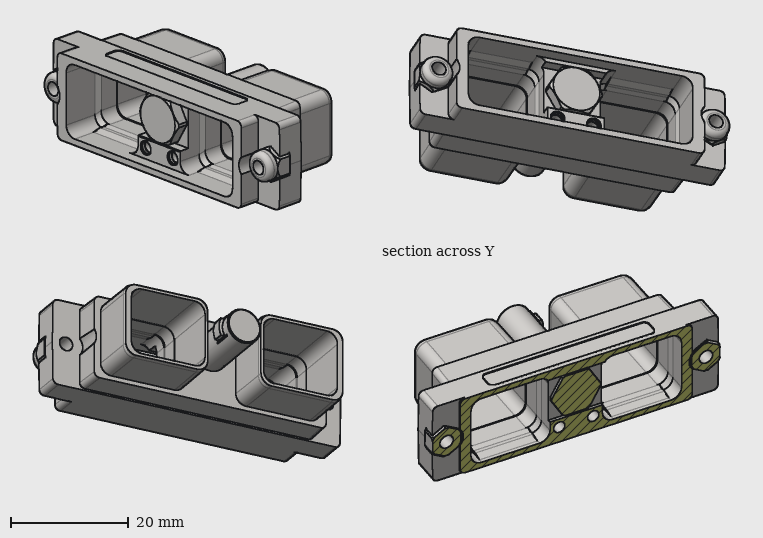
import cadquery as cq
import math

SIDES = (-1, 1)

FLANGE_FRONT = 4.05
FLANGE_REAR = 9.1
COLLAR_REAR = 14.1
BOX_CHAMFER_START = 22.2
BOX_REAR = 22.95
TUBE_REAR = 26.65

HEIGHT = 15.93
BODY_WIDTH = 44.8
FLANGE_WIDTH_AT_EDGE = 55.0
FLANGE_WIDTH_AT_MIDDLE = 55.25
COLLAR_HEIGHT = 15.26
COLLAR_REAR_WIDTH = 44.4
HOUSING_CORNER = 1.0

BOX_CENTER_X = 12.95
BOX_WIDTH = 16.1
BOX_WIDTH_AT_CHAMFER = 15.95
BOX_HEIGHT = 13.56
BOX_CORNER = 2.0
BOX_REAR_INSET = 0.13

CAVITY_WIDTH = 40.5
CAVITY_HEIGHT = 13.55
CAVITY_CORNER = 2.0
WEB_WIDTH = 10.2
WEB_FRONT = 2.3
PASSAGE_STEP_START = 6.8
PASSAGE_STEP_END = 7.9
PASSAGE_SIDE_STEP = 0.35
PASSAGE_HEIGHT_STEP = 0.55
PASSAGE_LEDGE = 11.6
PASSAGE_LEDGE_STEP = 0.17
WEDGE_START = 4.5
WEDGE_END = 6.1
WEDGE_RISE = 0.35

WEB_RECESS_BOTTOM = -2.97
WEB_RECESS_TOP = 5.95
WEB_RECESS_FLOOR = 4.25
WEB_RECESS_CHAMFER = 0.15
WEB_HOLE_X = 3.27
WEB_HOLE_Z = -4.77
WEB_HOLE_STEPS = ((1.05, 4.0), (1.15, 0.9), (1.25, 0.35))

PLUG_Z = 1.5
PLUG_HEAD_FRONT = 2.0
PLUG_HEAD_FLATS = 8.5
PLUG_HEAD_TIP_RADIUS = 4.75
PLUG_HEAD_FACE_RADIUS = 4.2
PLUG_HEAD_CHAMFER = 0.4
STEM_RADIUS = 3.15
STEM_CHAMFER = 0.2
KEY_Y = 23.55
KEY_LENGTH = 2.1
KEY_HEIGHT = 3.2
KEY_REACH = 3.78
KEY_SEAT_LENGTH = 3.5
KEY_SEAT_HEIGHT = 3.7
KEY_SEAT_REACH = 2.7

SCREW_X = 25.0
SCREW_BORE_RADIUS = 1.25
HEAD_RADIUS = 2.75
HEAD_FRONT = 1.5
HEAD_REAR = 3.43
HEAD_FILLET = 1.05
NUT_FLATS = 5.5
NUT_REAR = 6.43
NUT_CHAMFER = 0.62
NUT_POCKET_X = 25.4
NUT_POCKET_TIP_RADIUS = 3.28

GROOVE_HALF_HEIGHT = 1.56
GROOVE_BOTTOM_X = 21.8

PANEL_LENGTH = 32.0
PANEL_FRONT = 4.7
PANEL_REAR = 8.25
PANEL_CORNER = 1.0
PANEL_DEPTH = 0.2


def section(y, x=0.0, z=0.0):
    """Sketch plane square to Y: local x is X, local y is Z."""
    return cq.Workplane("XZ", origin=(x, y, z))


def block(width, height, start, end, x=0.0):
    return section(start, x).rect(width, height).extrude(start - end)


def rounded_block(width, height, corner, start, end, x=0.0):
    return block(width, height, start, end, x).edges("|Y").fillet(corner)


def inset_section(size, side_inset, height_inset):
    """A (width, height, corner) section drawn in on all sides, with the same corner radius."""
    return (size[0] - 2 * side_inset, size[1] - 2 * height_inset, size[2])


def tapered_block(front_size, rear_size, start, end, x=0.0):
    """Rectangular loft between (width, height, corner) sections."""
    front = cq.Sketch().rect(front_size[0], front_size[1]).vertices().fillet(front_size[2])
    rear = cq.Sketch().rect(rear_size[0], rear_size[1]).vertices().fillet(rear_size[2])
    rear = rear.moved(cq.Location(cq.Vector(0, 0, start - end)))
    return section(start, x).placeSketch(front, rear).loft()


def cylinder(radius, start, end, x=0.0, z=0.0):
    return section(start, x, z).circle(radius).extrude(start - end)


def hexagon(tip_radius, start, end, x=0.0, z=0.0, turn=0.0):
    prism = section(start).polygon(6, 2 * tip_radius).extrude(start - end)
    return prism.rotate((0, 0, 0), (0, 1, 0), turn).translate((x, 0, z))


def make_flange():
    edge = FLANGE_WIDTH_AT_EDGE / 2
    middle = FLANGE_WIDTH_AT_MIDDLE / 2
    top = HEIGHT / 2
    outline = [(-edge, top), (edge, top), (middle, 0), (edge, -top), (-edge, -top), (-middle, 0)]
    flange = section(FLANGE_FRONT).polyline(outline).close().extrude(FLANGE_FRONT - FLANGE_REAR)
    return flange.edges("|Y and (>Z or <Z)").fillet(HOUSING_CORNER)


def make_groove(side):
    """Arc-bottomed groove along the body and the collar, interrupted by the flange."""
    body_end = BODY_WIDTH / 2
    groove = (
        section(0)
        .moveTo(body_end, -GROOVE_HALF_HEIGHT)
        .threePointArc((GROOVE_BOTTOM_X, 0), (body_end, GROOVE_HALF_HEIGHT))
        .close()
        .extrude(-COLLAR_REAR)
    )
    groove = groove.cut(block(2 * FLANGE_WIDTH_AT_MIDDLE, HEIGHT, FLANGE_FRONT, FLANGE_REAR))
    return groove if side > 0 else groove.mirror("YZ")


def make_label_panel():
    length_y = PANEL_REAR - PANEL_FRONT
    panel = (
        cq.Workplane("XY", origin=(0, (PANEL_FRONT + PANEL_REAR) / 2, HEIGHT / 2))
        .rect(PANEL_LENGTH, length_y)
        .extrude(-PANEL_DEPTH)
    )
    return panel.edges("|Z").fillet(PANEL_CORNER)


def make_housing():
    body = rounded_block(BODY_WIDTH, HEIGHT, HOUSING_CORNER, 0, FLANGE_FRONT)
    collar = tapered_block(
        (BODY_WIDTH, COLLAR_HEIGHT, HOUSING_CORNER),
        (COLLAR_REAR_WIDTH, COLLAR_HEIGHT, HOUSING_CORNER),
        FLANGE_REAR,
        COLLAR_REAR,
    )
    housing = body.union(make_flange()).union(collar)
    for side in SIDES:
        housing = housing.cut(make_groove(side))
    return housing.cut(make_label_panel())


def make_box(side):
    x = side * BOX_CENTER_X
    base_size = (BOX_WIDTH, BOX_HEIGHT, BOX_CORNER)
    chamfer_size = (BOX_WIDTH_AT_CHAMFER, BOX_HEIGHT, BOX_CORNER)
    rear_size = inset_section(chamfer_size, BOX_REAR_INSET, BOX_REAR_INSET)
    shell = tapered_block(base_size, chamfer_size, COLLAR_REAR, BOX_CHAMFER_START, x)
    rim = tapered_block(chamfer_size, rear_size, BOX_CHAMFER_START, BOX_REAR, x)
    return shell.union(rim)


def make_wedge(x, width):
    """Ramp on the passage floor with a flat top that leads into the throat."""
    floor = -CAVITY_HEIGHT / 2
    return (
        cq.Workplane("YZ", origin=(x - width / 2, 0, 0))
        .moveTo(WEDGE_START, floor)
        .lineTo(WEDGE_END, floor + WEDGE_RISE)
        .lineTo(PASSAGE_STEP_START, floor + WEDGE_RISE)
        .lineTo(PASSAGE_STEP_END, floor + PASSAGE_HEIGHT_STEP)
        .lineTo(PASSAGE_STEP_END, floor)
        .close()
        .extrude(width)
    )


def make_passage(side):
    width = (CAVITY_WIDTH - WEB_WIDTH) / 2
    x = side * (CAVITY_WIDTH + WEB_WIDTH) / 4
    entry_size = (width, CAVITY_HEIGHT, CAVITY_CORNER)
    throat_size = inset_section(entry_size, PASSAGE_SIDE_STEP, PASSAGE_HEIGHT_STEP)
    exit_size = inset_section(throat_size, PASSAGE_LEDGE_STEP, PASSAGE_LEDGE_STEP)
    wedge = make_wedge(x, width - 2 * CAVITY_CORNER)
    entry = rounded_block(*entry_size, WEB_FRONT, PASSAGE_STEP_START, x)
    step = tapered_block(entry_size, throat_size, PASSAGE_STEP_START, PASSAGE_STEP_END, x)
    throat = rounded_block(*throat_size, PASSAGE_STEP_END, PASSAGE_LEDGE, x)
    exit_opening = rounded_block(*exit_size, PASSAGE_LEDGE, BOX_REAR, x)
    passage = entry.union(step).cut(wedge).cut(wedge.mirror("XY"))
    return passage.union(throat).union(exit_opening)


def make_front_cavity():
    return rounded_block(CAVITY_WIDTH, CAVITY_HEIGHT, CAVITY_CORNER, 0, WEB_FRONT)


def make_web_recess():
    """Recess across the web, wide enough to clear the passage corners, with its front lower edge bevelled."""
    width = WEB_WIDTH + 2 * CAVITY_CORNER
    profile = [
        (WEB_FRONT, WEB_RECESS_TOP),
        (WEB_RECESS_FLOOR, WEB_RECESS_TOP),
        (WEB_RECESS_FLOOR, WEB_RECESS_BOTTOM),
        (WEB_FRONT + WEB_RECESS_CHAMFER, WEB_RECESS_BOTTOM),
        (WEB_FRONT, WEB_RECESS_BOTTOM - WEB_RECESS_CHAMFER),
    ]
    return cq.Workplane("YZ", origin=(-width / 2, 0, 0)).polyline(profile).close().extrude(width)


def make_web_hole(side):
    x = side * WEB_HOLE_X
    hole = cq.Workplane()
    for radius, depth in WEB_HOLE_STEPS:
        hole = hole.add(cylinder(radius, WEB_FRONT, WEB_FRONT + depth, x, WEB_HOLE_Z))
    return hole.combine()


def make_plug_head():
    tip_radius = PLUG_HEAD_FLATS / math.sqrt(3)
    head = hexagon(tip_radius, PLUG_HEAD_FRONT, WEB_RECESS_FLOOR, z=PLUG_Z)
    turned = cylinder(PLUG_HEAD_TIP_RADIUS, PLUG_HEAD_FRONT, WEB_RECESS_FLOOR, z=PLUG_Z)
    turned = turned.faces("<Y").chamfer(PLUG_HEAD_CHAMFER, PLUG_HEAD_TIP_RADIUS - PLUG_HEAD_FACE_RADIUS)
    return head.intersect(turned)


def make_stem():
    stem = cylinder(STEM_RADIUS, COLLAR_REAR, TUBE_REAR, z=PLUG_Z).faces(">Y").chamfer(STEM_CHAMFER)
    side_plane = cq.Workplane("YZ", origin=(0, KEY_Y, PLUG_Z))
    seat = side_plane.rect(KEY_SEAT_LENGTH, KEY_SEAT_HEIGHT).extrude(KEY_SEAT_REACH)
    key = side_plane.rect(KEY_LENGTH, KEY_HEIGHT).extrude(KEY_REACH)
    key = key.intersect(cylinder(KEY_REACH, COLLAR_REAR, TUBE_REAR, z=PLUG_Z))
    return stem.union(seat).union(key)


def make_screw(side):
    x = side * SCREW_X
    tip_radius = NUT_FLATS / math.sqrt(3)
    head = cylinder(HEAD_RADIUS, HEAD_FRONT, HEAD_REAR, x).faces("<Y").edges().fillet(HEAD_FILLET)
    nut = hexagon(tip_radius, HEAD_REAR, NUT_REAR, x, turn=90)
    turned = cylinder(tip_radius, HEAD_REAR, NUT_REAR, x)
    turned = turned.faces("<Y").chamfer(NUT_CHAMFER, tip_radius - HEAD_RADIUS)
    return head.union(nut.intersect(turned))


def make_nut_pocket(side):
    return hexagon(NUT_POCKET_TIP_RADIUS, FLANGE_FRONT, NUT_REAR, side * NUT_POCKET_X, turn=90)


result = make_housing()
for side in SIDES:
    result = result.union(make_box(side))
result = result.cut(make_front_cavity())
for side in SIDES:
    result = result.cut(make_passage(side))
result = result.cut(make_web_recess())
for side in SIDES:
    result = result.cut(make_web_hole(side))
result = result.union(make_plug_head()).union(make_stem())
for side in SIDES:
    result = result.cut(make_nut_pocket(side)).union(make_screw(side))
    result = result.cut(cylinder(SCREW_BORE_RADIUS, HEAD_FRONT, FLANGE_REAR, side * SCREW_X))